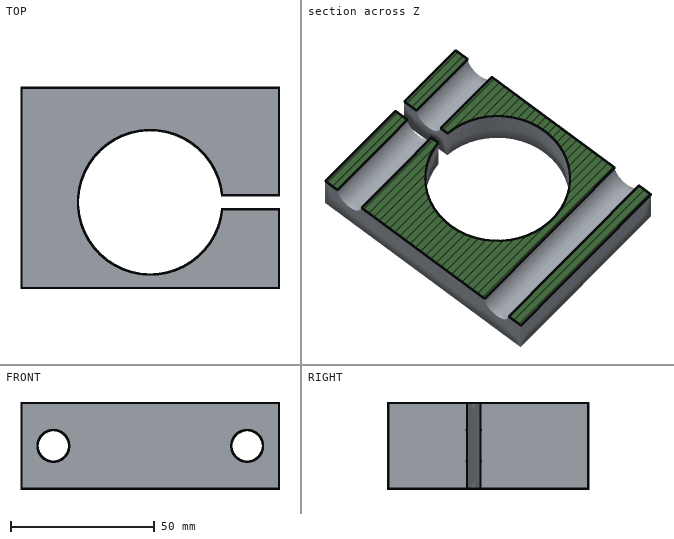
import cadquery as cq

length = 90.0
width = 70.0
height = 30.0

bore_diameter = 50.4
bore_offset_y = -5.0

slit_width = 4.8

bolt_hole_diameter = 11.0
bolt_hole_spacing = 67.7


def make_block():
    return cq.Workplane("XY").box(length, width, height)


def make_bore():
    return (
        cq.Workplane("XY")
        .center(0, bore_offset_y)
        .circle(bore_diameter / 2)
        .extrude(height, both=True)
    )


def make_slit():
    """Slit from the bore axis out through the +X side."""
    return (
        cq.Workplane("XY")
        .box(length, slit_width, height, centered=(False, True, True))
        .translate((0, bore_offset_y, 0))
    )


def make_bolt_holes():
    """Two through holes at mid height, one on each side of the bore."""
    return (
        cq.Workplane("XZ")
        .rarray(bolt_hole_spacing, 0.9, 2, 1)
        .circle(bolt_hole_diameter / 2)
        .extrude(width, both=True)
    )


result = make_block().cut(make_bore()).cut(make_slit()).cut(make_bolt_holes())